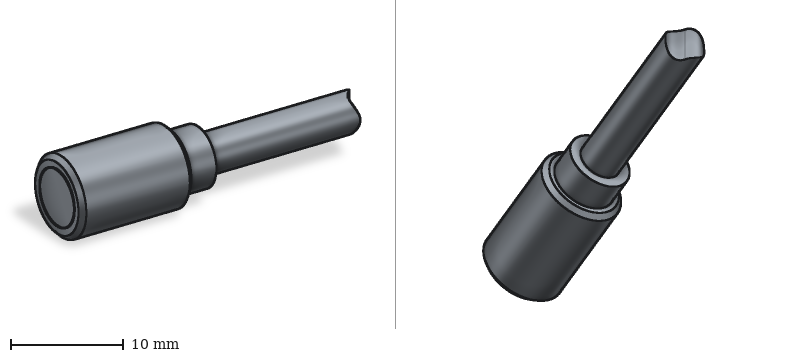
import cadquery as cq

total_length = 31.5
front_y = -total_length / 2
cable_tip_y = total_length / 2

body_diameter = 8.0
body_length = 12.0
body_chamfer = 0.5

collar_diameter = 6.0
collar_length = 3.0
cable_diameter = 3.9

wave_height = 0.5

groove_outer_diameter = 5.6
groove_inner_diameter = 5.5
groove_depth = 0.1

body_rear_y = front_y + body_length
collar_rear_y = body_rear_y + collar_length


def cylinder_along_y(diameter, start_y, length):
    """Cylinder on the Y axis, growing toward +Y from start_y."""
    base = cq.Workplane("XZ", origin=(0, start_y, 0))
    return base.circle(diameter / 2).extrude(-length)


def make_body():
    body = cylinder_along_y(body_diameter, front_y, body_length)
    return body.edges("%CIRCLE").chamfer(body_chamfer)


def make_face_groove():
    outer = cylinder_along_y(groove_outer_diameter, front_y, groove_depth)
    inner = cylinder_along_y(groove_inner_diameter, front_y, groove_depth)
    return outer.cut(inner)


def make_cable():
    """Cable whose free end follows an S-shaped break line across X."""
    radius = cable_diameter / 2
    break_y = cable_tip_y - wave_height
    profile = (
        cq.Workplane("XY")
        .moveTo(-radius, collar_rear_y)
        .lineTo(-radius, break_y)
        .threePointArc((-radius / 2, break_y + wave_height), (0, break_y))
        .threePointArc((radius / 2, break_y - wave_height), (radius, break_y))
        .lineTo(radius, collar_rear_y)
        .close()
        .extrude(radius, both=True)
    )
    round_stock = cylinder_along_y(cable_diameter, collar_rear_y, cable_tip_y - collar_rear_y)
    return round_stock.intersect(profile)


collar = cylinder_along_y(collar_diameter, body_rear_y, collar_length)
result = make_body().union(collar).union(make_cable()).cut(make_face_groove())